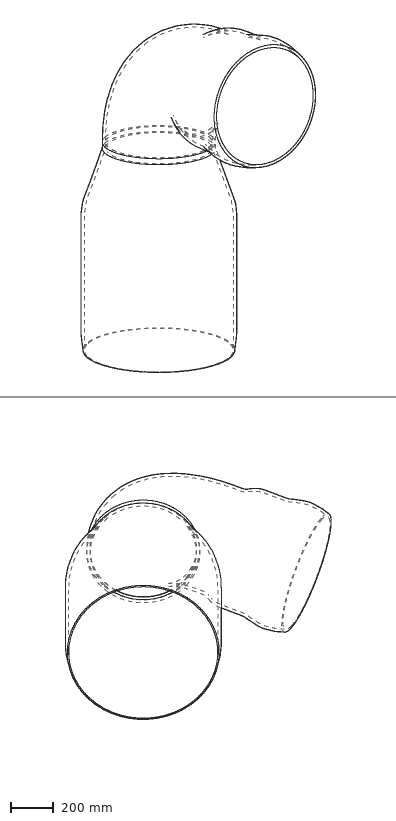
import cadquery as cq

pipe_radius = 530.0 / 2
reducer_wall = 16.3
elbow_wall = 14.5

base_radius = 730.0 / 2
spigot_tip_radius = 712.0 / 2
spigot_taper_top = 77.0
spigot_edge_top = 82.0
spigot_edge_drop = 0.3
barrel_top = 665.0
shoulder_top = 730.0
shoulder_top_radius = 355.0
cone_top = 990.0
joint_height = 1019.0

total_height = 1715
bend_radius = 364.0
bend_start_height = 1036.0
socket_axis_height = bend_start_height + bend_radius

socket_radius = 590.0 / 2
bell_radius = total_height - socket_axis_height
flare_start = 400.0
flare_middle = 440.0
flare_end = 506.0
bell_flare_start = 612.0
bell_flare_middle = 648.0
bell_crest_start = 729.0
bell_crest_end = 734.0
bell_taper_start = 813.0
socket_end = 830.0
mouth_radius = 297.0


def blend_radius(start, middle, end, start_radius, end_radius):
    """Radius where the two arcs of an S-blend meet: on the chord between its ends."""
    return start_radius + (end_radius - start_radius) * (middle - start) / (end - start)


def make_reducer():
    bore_radius = pipe_radius - reducer_wall
    barrel_bore_radius = base_radius - reducer_wall

    section = (
        cq.Workplane("XZ")
        .moveTo(spigot_tip_radius, 0)
        .lineTo(base_radius - spigot_edge_drop, spigot_taper_top)
        .tangentArcPoint((base_radius, spigot_edge_top), relative=False)
        .lineTo(base_radius, barrel_top)
        .tangentArcPoint((shoulder_top_radius, shoulder_top), relative=False)
        .lineTo(pipe_radius, cone_top)
        .lineTo(pipe_radius, joint_height)
        .lineTo(bore_radius, joint_height)
        .lineTo(bore_radius, cone_top)
        .lineTo(shoulder_top_radius - reducer_wall, shoulder_top)
        .lineTo(barrel_bore_radius, barrel_top)
        .lineTo(barrel_bore_radius, 0)
        .close()
    )
    return section.revolve(360, (0, 0, 0), (0, 1, 0))


def make_bend():
    """Short straight stub and the quarter bend above it, both hollow."""
    bore_radius = pipe_radius - elbow_wall
    stub = (
        cq.Workplane("XY").workplane(offset=joint_height)
        .circle(pipe_radius)
        .circle(bore_radius)
        .extrude(bend_start_height - joint_height)
    )
    bend = (
        cq.Workplane("XY").workplane(offset=bend_start_height)
        .circle(pipe_radius)
        .circle(bore_radius)
        .revolve(90, (bend_radius, 0, 0), (bend_radius, 1, 0))
    )
    return stub.union(bend)


def socket_core(inset):
    """Solid filling the socket, with every radius reduced by the inset."""
    radius = pipe_radius - inset
    flare_radius = blend_radius(flare_start, flare_middle, flare_end, pipe_radius, socket_radius)
    bell_flare_radius = blend_radius(
        bell_flare_start, bell_flare_middle, bell_crest_start, socket_radius, bell_radius
    )
    bell_taper_radius = bell_flare_radius
    return (
        cq.Workplane("XZ", origin=(0, 0, socket_axis_height))
        .moveTo(bend_radius, 0)
        .lineTo(bend_radius, radius)
        .lineTo(flare_start, radius)
        .tangentArcPoint((flare_middle, flare_radius - inset), relative=False)
        .tangentArcPoint((flare_end, socket_radius - inset), relative=False)
        .lineTo(bell_flare_start, socket_radius - inset)
        .tangentArcPoint((bell_flare_middle, bell_flare_radius - inset), relative=False)
        .tangentArcPoint((bell_crest_start, bell_radius - inset), relative=False)
        .lineTo(bell_crest_end, bell_radius - inset)
        .tangentArcPoint((bell_taper_start, bell_taper_radius - inset), relative=False)
        .lineTo(socket_end, mouth_radius - inset)
        .lineTo(socket_end, 0)
        .close()
        .revolve(360, (0, 0, 0), (1, 0, 0))
    )


def make_elbow():
    socket = socket_core(0).cut(socket_core(elbow_wall))
    return make_bend().union(socket)


reducer = make_reducer()
elbow = make_elbow()

result = cq.Compound.makeCompound([reducer.val(), elbow.solids().val()])